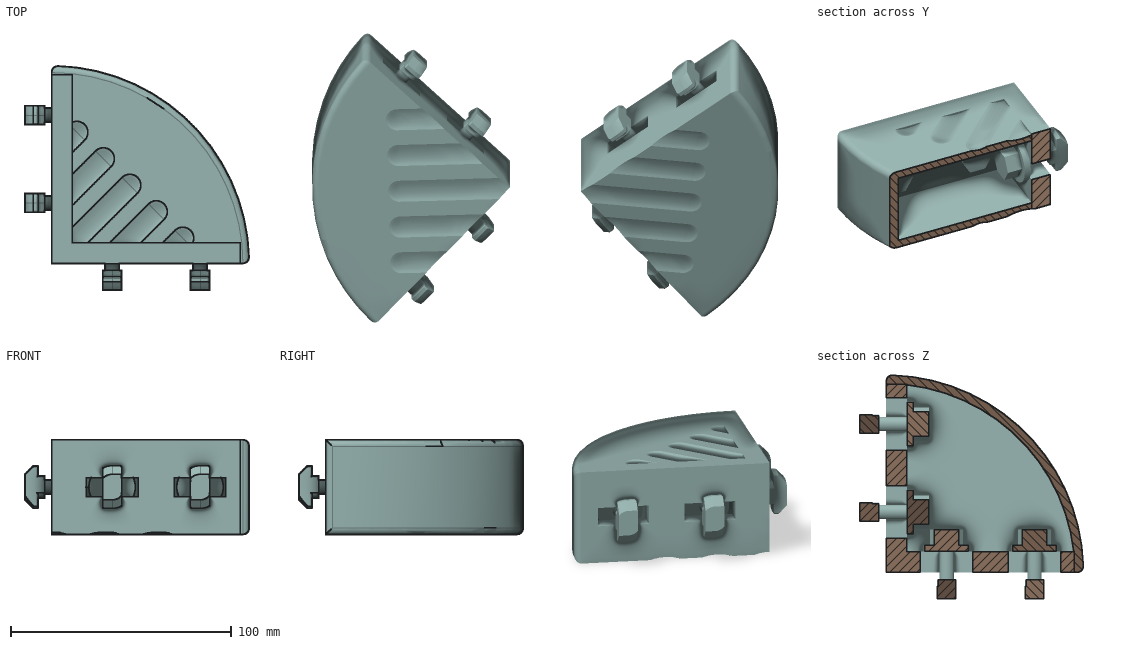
import cadquery as cq
import math

HEIGHT = 43.0
MID_HEIGHT = HEIGHT / 2
SIDE_LENGTH = 89.6
EDGE_FILLET = 2.9
OUTER_RADIUS = EDGE_FILLET + math.hypot(SIDE_LENGTH - EDGE_FILLET, EDGE_FILLET)

PLATE_LENGTH = 85.5
PLATE_THICKNESS = 9.5
SLOT_LENGTH = 23.5
BLADE_WIDTH = 8.6
SLOT_HEIGHT = BLADE_WIDTH

CAVITY_RADIUS = PLATE_LENGTH
SHELL = OUTER_RADIUS - CAVITY_RADIUS

GROOVE_COUNT = 5
GROOVE_HALF_WIDTH = 5.0
GROOVE_DEPTH = 1.1
GROOVE_RADIUS = (GROOVE_HALF_WIDTH**2 + GROOVE_DEPTH**2) / (2 * GROOVE_DEPTH)
GROOVE_STEP = 12.0
GROOVE_END = 35.5

FIRST_BOLT = 27.4
BOLT_PITCH = 39.9
BOLT_POSITIONS = (FIRST_BOLT, FIRST_BOLT + BOLT_PITCH)
HEAD_TOP = 12.1
HEAD_THICKNESS = 6.0
HEAD_HALF_LENGTH = 9.7
HEAD_FACE_HALF_LENGTH = 5.8
HEAD_CORNER = 0.7
HEAD_BACK_FILLET = 0.5
NECK_LENGTH = 2.9
NECK_HALF_LENGTH = 5.1
NECK_CORNER = 0.4
SHANK_DIAMETER = 6.5

FLANGE_DIAMETER = 21.0
FLANGE_THICKNESS = 3.0
HEX_ACROSS_FLATS = 13.0
HEX_THICKNESS = 7.0

HEAD_BACK = HEAD_TOP - HEAD_THICKNESS
NECK_END = HEAD_BACK - NECK_LENGTH
NUT_HEIGHT = FLANGE_THICKNESS + HEX_THICKNESS
SHANK_END = PLATE_THICKNESS + NUT_HEIGHT


def make_groove(offset, surface, outward):
    """Round-ended groove tool parallel to the diagonal; its end is a ball of the same radius."""
    axis_z = surface + outward * (GROOVE_RADIUS - GROOVE_DEPTH)
    end = cq.Vector(GROOVE_END + offset, GROOVE_END - offset, axis_z)
    along = cq.Vector(-1, -1, 0)
    length = 2 * OUTER_RADIUS
    bar = cq.Solid.makeCylinder(GROOVE_RADIUS, length, end, along)
    ball = cq.Workplane("XY").sphere(GROOVE_RADIUS).translate(end)
    return cq.Workplane(bar).union(ball)


def cut_grooves(body, surface, outward):
    for index in range(GROOVE_COUNT):
        offset = (index - GROOVE_COUNT // 2) * GROOVE_STEP
        body = body.cut(make_groove(offset, surface, outward))
    return body


def quarter_disc(radius, height):
    return (
        cq.Workplane("XY")
        .moveTo(0, 0)
        .lineTo(radius, 0)
        .radiusArc((0, radius), -radius)
        .close()
        .extrude(height)
    )


def plate_blank():
    return (
        cq.Workplane("XY")
        .polyline(
            [
                (0, 0),
                (PLATE_LENGTH, 0),
                (PLATE_LENGTH, PLATE_THICKNESS),
                (PLATE_THICKNESS, PLATE_THICKNESS),
                (PLATE_THICKNESS, PLATE_LENGTH),
                (0, PLATE_LENGTH),
            ]
        )
        .close()
        .extrude(HEIGHT)
    )


def place_on_front(body, position):
    return body.translate((position, 0, MID_HEIGHT))


def place_on_side(body, position):
    return body.rotate((0, 0, 0), (0, 0, 1), -90).translate((0, position, MID_HEIGHT))


def on_both_sides(body):
    """Copies of a body made around the Y axis, one at each bolt position of both plate legs."""
    front = [place_on_front(body, position) for position in BOLT_POSITIONS]
    side = [place_on_side(body, position) for position in BOLT_POSITIONS]
    return front + side


def make_angle_plate():
    plate = plate_blank()
    slot = cq.Workplane("XY").box(SLOT_LENGTH, 2 * PLATE_THICKNESS, SLOT_HEIGHT)
    for cutter in on_both_sides(slot):
        plate = plate.cut(cutter)
    return cut_grooves(plate, surface=0, outward=-1)


def make_housing():
    housing = quarter_disc(OUTER_RADIUS, HEIGHT)
    housing = housing.faces("%CYLINDER").edges().fillet(EDGE_FILLET)
    cavity = quarter_disc(CAVITY_RADIUS, HEIGHT - 2 * SHELL).translate((0, 0, SHELL))
    housing = housing.cut(cavity).cut(plate_blank())
    housing = cut_grooves(housing, surface=0, outward=-1)
    return cut_grooves(housing, surface=HEIGHT, outward=1)


def twist_lock(profile, half_length, corner):
    """Blade for twisting into a channel, from a half profile of (Z, Y) points.

    Two opposite quarters are straight with a slightly rounded corner; the other two
    are turned about the Y axis so that the blade can rotate.
    """
    half_width = BLADE_WIDTH / 2
    long_side = 2 * half_length
    mirrored = [(-z, y) for z, y in reversed(profile)]
    straight = (
        cq.Workplane("YZ")
        .polyline([(y, z) for z, y in profile + mirrored])
        .close()
        .extrude(half_width, both=True)
    )
    rounding = (
        cq.Workplane("XZ")
        .rect(BLADE_WIDTH, long_side)
        .extrude(HEAD_TOP)
        .edges("|Y")
        .fillet(corner)
    )
    quarters = (
        cq.Workplane("XZ")
        .pushPoints([(half_width, half_length), (-half_width, -half_length)])
        .rect(BLADE_WIDTH, long_side)
        .extrude(HEAD_TOP)
    )
    straight = straight.intersect(rounding).intersect(quarters)
    turned = (
        cq.Workplane("XY")
        .polyline([(0, profile[0][1])] + profile + [(0, profile[-1][1])])
        .close()
        .revolve(360, (0, 0, 0), (0, 1, 0))
    )
    turned = turned.intersect(cq.Workplane("XY").box(BLADE_WIDTH, 2 * HEAD_TOP, long_side))
    return turned.cut(quarters).union(straight)


def make_bolt():
    chamfer = HEAD_HALF_LENGTH - HEAD_FACE_HALF_LENGTH
    head = twist_lock(
        [
            (HEAD_FACE_HALF_LENGTH, -HEAD_TOP),
            (HEAD_HALF_LENGTH, chamfer - HEAD_TOP),
            (HEAD_HALF_LENGTH, -HEAD_BACK),
        ],
        HEAD_HALF_LENGTH,
        HEAD_CORNER,
    )
    head = head.faces(">Y").edges().fillet(HEAD_BACK_FILLET)
    neck_start = HEAD_BACK + HEAD_BACK_FILLET
    neck = twist_lock(
        [(NECK_HALF_LENGTH, -neck_start), (NECK_HALF_LENGTH, -NECK_END)],
        NECK_HALF_LENGTH,
        NECK_CORNER,
    )
    shank = (
        cq.Workplane("XZ", origin=(0, -NECK_END, 0))
        .circle(SHANK_DIAMETER / 2)
        .extrude(-NECK_END - SHANK_END)
    )
    return head.union(neck).union(shank)


def make_nut():
    """Flange nut seated against the inner face of the plate."""
    hex_diameter = HEX_ACROSS_FLATS / math.cos(math.pi / 6)
    seat = cq.Workplane("XZ", origin=(0, PLATE_THICKNESS, 0))
    flange = seat.circle(FLANGE_DIAMETER / 2).extrude(-FLANGE_THICKNESS)
    hexagon = seat.polygon(6, hex_diameter).extrude(-NUT_HEIGHT)
    bore = seat.circle(SHANK_DIAMETER / 2).extrude(-NUT_HEIGHT)
    return flange.union(hexagon).cut(bore)


angle_plate = make_angle_plate()
housing = make_housing()
bolts = on_both_sides(make_bolt())
nuts = on_both_sides(make_nut())

result = cq.Compound.makeCompound(
    [angle_plate.val(), housing.val()]
    + [bolt.val() for bolt in bolts]
    + [nut.val() for nut in nuts]
)